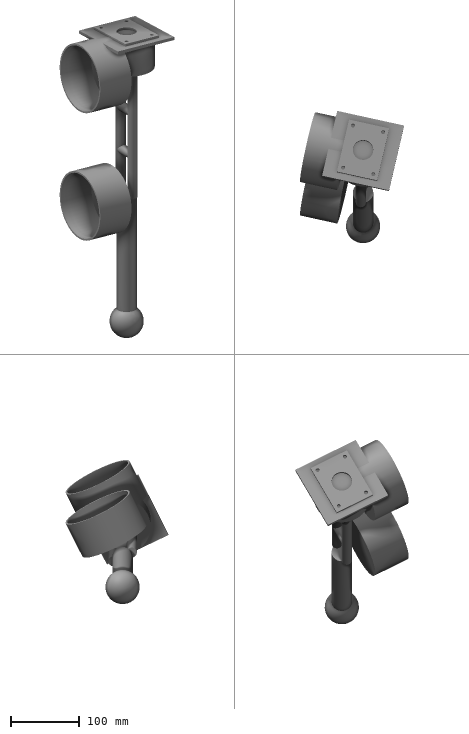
import cadquery as cq

TOTAL_HEIGHT = 480.0
OVERALL_DEPTH = 132.5

PLATE_SIDE = 100.0
PLATE_THICKNESS = 5.0
PAD_LENGTH = 80.0
PAD_WIDTH = 60.0
PAD_THICKNESS = 4.0
PAD_BORE_DIAMETER = 30.0
SCREW_DIAMETER = 6.0
SCREW_SPACING_X = 65.0
SCREW_SPACING_Y = 45.0

HOUSING_DIAMETER = 82.0
HOUSING_BOTTOM = -55.0
PLATE_BOTTOM = -PAD_THICKNESS - PLATE_THICKNESS

CUP_DIAMETER = 104.0
CUP_BORE_DIAMETER = 99.0
CUP_DEPTH = 55.0
CUP_FLOOR = 1.0
CUP_FRONT = PLATE_SIDE / 2 - OVERALL_DEPTH
CUP_BACK = CUP_FRONT + CUP_DEPTH
CUP_SPACING = 200.0
CUP_HEIGHTS = [HOUSING_BOTTOM, HOUSING_BOTTOM - CUP_SPACING]

ROD_DIAMETER = 15.0
ROD_OFFSET = ROD_DIAMETER
ROD_BOTTOM = HOUSING_BOTTOM - CUP_SPACING
CROSSBAR_SPACING = (HOUSING_BOTTOM - ROD_BOTTOM) / 3
CROSSBAR_MID_HEIGHT = (HOUSING_BOTTOM + ROD_BOTTOM) / 2

HANDLE_DIAMETER = 30.0
BALL_DIAMETER = 50.0
BALL_HEIGHT = BALL_DIAMETER / 2 - TOTAL_HEIGHT


def upright(diameter, bottom, top, x=0):
    """Solid vertical cylinder between two heights."""
    return cq.Workplane("XY", origin=(x, 0, bottom)).circle(diameter / 2).extrude(top - bottom)


def make_plate():
    """Plain square mounting plate."""
    return (
        cq.Workplane("XY", origin=(0, 0, PLATE_BOTTOM))
        .rect(PLATE_SIDE, PLATE_SIDE)
        .extrude(PLATE_THICKNESS)
    )


def make_pad():
    """Rectangular pad with a central bore and four corner screw holes."""
    pad = (
        cq.Workplane("XY", origin=(0, 0, -PAD_THICKNESS))
        .rect(PAD_LENGTH, PAD_WIDTH)
        .extrude(PAD_THICKNESS)
    )
    pad = pad.faces(">Z").workplane(origin=(0, 0, 0)).hole(PAD_BORE_DIAMETER)
    return (
        pad.faces(">Z").workplane(origin=(0, 0, 0))
        .rect(SCREW_SPACING_X, SCREW_SPACING_Y, forConstruction=True)
        .vertices()
        .hole(SCREW_DIAMETER)
    )


def make_cup(height):
    """Round cup, open toward -Y, with a thin floor at the back."""
    shell = cq.Workplane("XZ", origin=(0, CUP_BACK, height)).circle(CUP_DIAMETER / 2).extrude(CUP_DEPTH)
    bore = (
        cq.Workplane("XZ", origin=(0, CUP_BACK - CUP_FLOOR, height))
        .circle(CUP_BORE_DIAMETER / 2)
        .extrude(CUP_DEPTH - CUP_FLOOR)
    )
    return shell.cut(bore)


def make_rod_frame():
    """Two upright rods welded together by two crossbars between their axes."""
    frame = upright(ROD_DIAMETER, ROD_BOTTOM, HOUSING_BOTTOM, -ROD_OFFSET)
    frame = frame.union(upright(ROD_DIAMETER, ROD_BOTTOM, HOUSING_BOTTOM, ROD_OFFSET))
    for offset in (-CROSSBAR_SPACING / 2, CROSSBAR_SPACING / 2):
        crossbar = (
            cq.Workplane("YZ", origin=(-ROD_OFFSET, 0, CROSSBAR_MID_HEIGHT + offset))
            .circle(ROD_DIAMETER / 2)
            .extrude(2 * ROD_OFFSET)
        )
        frame = frame.union(crossbar)
    return frame


plate = make_plate()
pad = make_pad()
housing = upright(HOUSING_DIAMETER, HOUSING_BOTTOM, PLATE_BOTTOM)
rod_frame = make_rod_frame()
ball = cq.Workplane("XY", origin=(0, 0, BALL_HEIGHT)).sphere(BALL_DIAMETER / 2)

handle = upright(HANDLE_DIAMETER, BALL_HEIGHT, ROD_BOTTOM).cut(ball)

cups = [make_cup(height).cut(plate).cut(pad).cut(housing) for height in CUP_HEIGHTS]

bodies = [plate, pad, housing, *cups, rod_frame, handle, ball]
result = cq.Compound.makeCompound([solid for body in bodies for solid in body.solids().vals()])